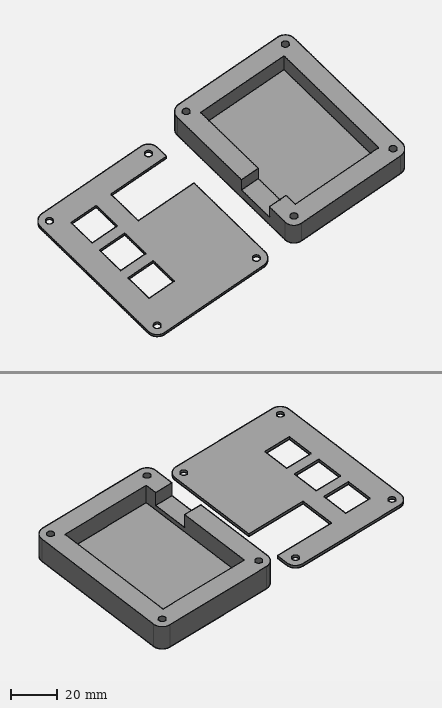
import cadquery as cq

width = 81.9
depth = 65.3
corner_radius = 5.0
screw_hole_diameter = 3.4
screw_inset = corner_radius

case_height = 13.0
wall = 9.4
pocket_depth = 10.1
notch_left = 47.8
notch_width = 18.6
notch_depth = 7.5

plate_thickness = 1.5
plate_gap = 11.4
plate_shift = 0.3
slot_left = 11.0
slot_width = 18.3
slot_length = 31.1
window_size = 14.0
window_pitch = 19.0
window_count = 3
window_left = 11.6
window_front = 11.5

case_origin = (0, plate_gap / 2)
plate_origin = (plate_shift, -plate_gap / 2 - depth)


def box_from_corner(x, y, z, size_x, size_y, size_z):
    """Box whose lowest front left corner is at (x, y, z)."""
    return cq.Workplane("XY").box(size_x, size_y, size_z, centered=False).translate((x, y, z))


def rounded_slab(thickness):
    """Slab with rounded corners and a through screw hole in each corner."""
    slab = box_from_corner(0, 0, 0, width, depth, thickness).edges("|Z").fillet(corner_radius)
    screw_places = [
        (x, y)
        for x in (screw_inset, width - screw_inset)
        for y in (screw_inset, depth - screw_inset)
    ]
    holes = (
        cq.Workplane("XY")
        .pushPoints(screw_places)
        .circle(screw_hole_diameter / 2)
        .extrude(thickness)
    )
    return slab.cut(holes)


def make_case():
    """Open case with a rectangular pocket and a cable notch through the front wall."""
    pocket = box_from_corner(
        wall, wall, case_height - pocket_depth,
        width - 2 * wall, depth - 2 * wall, pocket_depth,
    )
    notch = box_from_corner(
        notch_left, 0, case_height - notch_depth,
        notch_width, wall, notch_depth,
    )
    return rounded_slab(case_height).cut(pocket).cut(notch).translate(case_origin)


def make_plate():
    """Cover plate with a slot open to the back side and a row of square windows."""
    plate = rounded_slab(plate_thickness).cut(
        box_from_corner(slot_left, depth - slot_length, 0, slot_width, slot_length, plate_thickness)
    )
    for index in range(window_count):
        x = window_left + index * window_pitch
        plate = plate.cut(
            box_from_corner(x, window_front, 0, window_size, window_size, plate_thickness)
        )
    return plate.translate(plate_origin)


case = make_case()
plate = make_plate()

result = cq.Compound.makeCompound([case.val(), plate.val()])